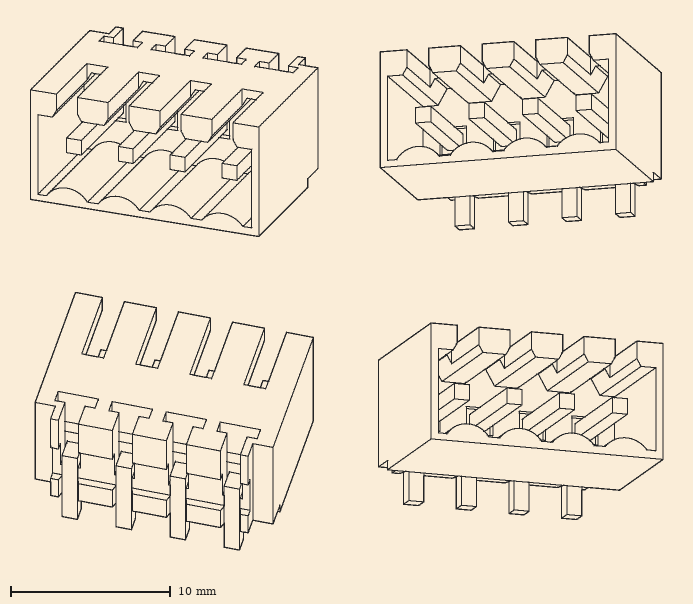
import cadquery as cq


PIN_COUNT = 4
PITCH = 3.5
PIN_POSITIONS = [(i - (PIN_COUNT - 1) / 2) * PITCH for i in range(PIN_COUNT)]

WIDTH = 15.4
DEPTH = 11.05
HEIGHT = 7.5
OVERALL_HEIGHT = 8.95
WALL = 0.5
CORNER_RELIEF_WIDTH = 1.31
CORNER_RELIEF_DEPTH = 1.14
STEP_FRONT = 8.21
STEP_HEIGHT = 0.6

CAVITY_DEPTH = STEP_FRONT - WALL
CAVITY_TOP = HEIGHT - 1.62
FLOOR_LEFT = 0.43
FLOOR_RIGHT = 0.52
CAVITY_HALF_WIDTH = WIDTH / 2 - WALL
KEYWAY_TOP = HEIGHT - 0.59
KEYWAY_BASE_WIDTH = 1.97
KEYWAY_TOP_WIDTH = 0.79
KEY_SLOT_WIDTH = 1.42
KEY_SLOT_DEPTH = 5.08

RIB_WIDTH = 2.77
RIB_TOP = 1.19

PIN_SIZE = 1.0
PIN_FRONT = 1.19
PIN_BACK = DEPTH - 0.32
PIN_AXIS_Z = 3.54
PIN_BOTTOM = HEIGHT - OVERALL_HEIGHT
PIN_TOP = PIN_AXIS_Z + PIN_SIZE / 2
SOCKET_SIZE = 1.74
SOCKET_DEPTH = 0.5

BACK_RECESS_BOTTOM = 2.14
BACK_RECESS_TOP = 4.91
BACK_RECESS_DEPTH = 0.5
CHANNEL_WIDTH = 1.3
CHANNEL_FLOOR = PIN_AXIS_Z - PIN_SIZE / 2
CROSS_SLOT_WIDTH = 2.6
CROSS_SLOT_FRONT = 8.62
CROSS_SLOT_BACK = 9.44
CROSS_SLOT_FLOOR = BACK_RECESS_TOP


def block(x_range, y_range, z_range):
    """Box spanning the given ranges."""
    (x0, x1), (y0, y1), (z0, z1) = x_range, y_range, z_range
    return cq.Workplane("XY").box(x1 - x0, y1 - y0, z1 - z0, centered=False).translate((x0, y0, z0))


def centred_span(centre, width):
    """Range of the given width about a centre."""
    return (centre - width / 2, centre + width / 2)


def floor_height(x):
    """Height of the sloping cavity floor at x."""
    fraction = (x + CAVITY_HALF_WIDTH) / (2 * CAVITY_HALF_WIDTH)
    return FLOOR_LEFT + fraction * (FLOOR_RIGHT - FLOOR_LEFT)


def housing_shell():
    """Outer block with the raised rear underside, cut-away corners and recessed back face."""
    shell = block(centred_span(0, WIDTH), (0, DEPTH), (0, HEIGHT))
    shell = shell.cut(block(centred_span(0, WIDTH), (STEP_FRONT, DEPTH), (0, STEP_HEIGHT)))
    for side in (-1, 1):
        relief_centre = side * (WIDTH - CORNER_RELIEF_WIDTH) / 2
        relief_x = centred_span(relief_centre, CORNER_RELIEF_WIDTH)
        shell = shell.cut(block(relief_x, (DEPTH - CORNER_RELIEF_DEPTH, DEPTH), (0, HEIGHT)))
    recess_y = (DEPTH - BACK_RECESS_DEPTH, DEPTH)
    return shell.cut(block(centred_span(0, WIDTH), recess_y, (BACK_RECESS_BOTTOM, BACK_RECESS_TOP)))


def mating_cavity():
    """Cavity whose outline has a keyway above and a rounded rib below each pin."""
    outline = cq.Workplane("XZ").moveTo(-CAVITY_HALF_WIDTH, FLOOR_LEFT)
    for x in PIN_POSITIONS:
        rib_start, rib_end = centred_span(x, RIB_WIDTH)
        outline = outline.lineTo(rib_start, floor_height(rib_start))
        outline = outline.threePointArc((x, RIB_TOP), (rib_end, floor_height(rib_end)))
    outline = outline.lineTo(CAVITY_HALF_WIDTH, FLOOR_RIGHT)
    outline = outline.lineTo(CAVITY_HALF_WIDTH, CAVITY_TOP)
    for x in reversed(PIN_POSITIONS):
        outline = outline.lineTo(x + KEYWAY_BASE_WIDTH / 2, CAVITY_TOP)
        outline = outline.lineTo(x + KEYWAY_TOP_WIDTH / 2, KEYWAY_TOP)
        outline = outline.lineTo(x - KEYWAY_TOP_WIDTH / 2, KEYWAY_TOP)
        outline = outline.lineTo(x - KEYWAY_BASE_WIDTH / 2, CAVITY_TOP)
    outline = outline.lineTo(-CAVITY_HALF_WIDTH, CAVITY_TOP)
    return outline.close().extrude(-CAVITY_DEPTH)


def key_slot(x):
    """Slot through the roof, open at the mating face."""
    return block(centred_span(x, KEY_SLOT_WIDTH), (0, KEY_SLOT_DEPTH), (PIN_TOP, HEIGHT))


def pin_socket(x):
    """Square recess around the pin in the cavity end wall."""
    socket_y = (CAVITY_DEPTH, CAVITY_DEPTH + SOCKET_DEPTH)
    return block(centred_span(x, SOCKET_SIZE), socket_y, centred_span(PIN_AXIS_Z, SOCKET_SIZE))


def rear_channel(x):
    """Upright channel, open at the back and top, ending in a wider cross slot."""
    channel_y = (CROSS_SLOT_BACK, DEPTH)
    channel = block(centred_span(x, CHANNEL_WIDTH), channel_y, (CHANNEL_FLOOR, HEIGHT))
    slot_y = (CROSS_SLOT_FRONT, CROSS_SLOT_BACK)
    return channel.union(block(centred_span(x, CROSS_SLOT_WIDTH), slot_y, (CROSS_SLOT_FLOOR, HEIGHT)))


def lead_in_notch(x):
    """Notch in the lower rear lip, tapering from the channel width to the pin width."""
    recess_y = DEPTH - BACK_RECESS_DEPTH
    corners = [
        (x - CHANNEL_WIDTH / 2, DEPTH),
        (x - PIN_SIZE / 2, recess_y),
        (x + PIN_SIZE / 2, recess_y),
        (x + CHANNEL_WIDTH / 2, DEPTH),
    ]
    return cq.Workplane("XY").polyline(corners).close().extrude(BACK_RECESS_BOTTOM)


def make_pin(x):
    """Right-angle square pin: a contact leg along Y and a solder leg down at the back."""
    pin_x = centred_span(x, PIN_SIZE)
    contact_leg = block(pin_x, (PIN_FRONT, PIN_BACK), centred_span(PIN_AXIS_Z, PIN_SIZE))
    solder_leg = block(pin_x, (PIN_BACK - PIN_SIZE, PIN_BACK), (PIN_BOTTOM, PIN_TOP))
    return contact_leg.union(solder_leg)


def make_housing(pins):
    """Housing with its cavity, slots and close-fitting passages for the pins."""
    body = housing_shell().cut(mating_cavity())
    for x, pin in zip(PIN_POSITIONS, pins):
        for opening in (key_slot(x), pin_socket(x), rear_channel(x), lead_in_notch(x), pin):
            body = body.cut(opening)
    return body


pins = [make_pin(x) for x in PIN_POSITIONS]
housing = make_housing(pins)

result = cq.Compound.makeCompound([housing.val(), *[pin.val() for pin in pins]])